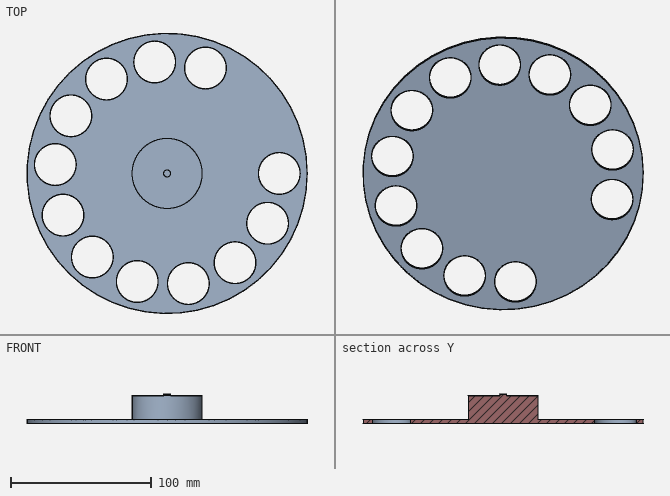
import cadquery as cq

disc_diameter = 200.0
disc_thickness = 3.0
opening_diameter = 29.5
opening_circle_radius = 80.0
opening_count = 12
first_opening_angle = 70.0
opening_arc = 290.0

hub_diameter = disc_diameter / 4
hub_height = 17.0
pin_diameter = 5.0
pin_height = 1.0


def make_disc():
    """Flat disc with openings spread evenly over part of a circle."""
    disc = cq.Workplane("XY").circle(disc_diameter / 2).extrude(disc_thickness)
    openings = (
        cq.Workplane("XY")
        .polarArray(opening_circle_radius, first_opening_angle, opening_arc, opening_count)
        .circle(opening_diameter / 2)
        .extrude(disc_thickness)
    )
    return disc.cut(openings)


def add_boss(body, diameter, height):
    """Add a centred cylinder on the highest face of the body."""
    return body.faces(">Z").workplane(origin=(0, 0, 0)).circle(diameter / 2).extrude(height)


disc_with_hub = add_boss(make_disc(), hub_diameter, hub_height)
result = add_boss(disc_with_hub, pin_diameter, pin_height)